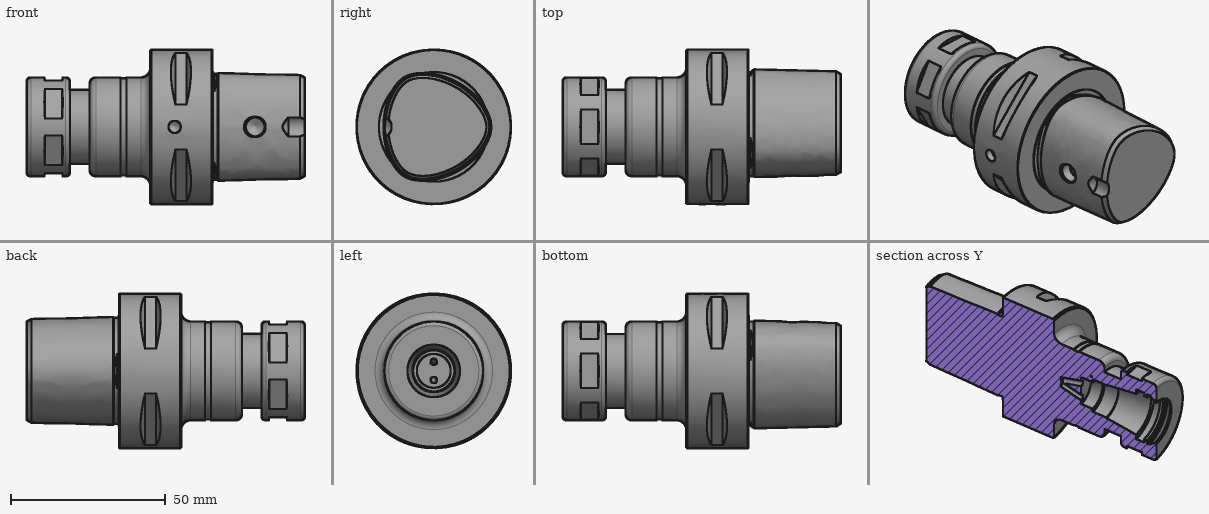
import cadquery as cq
import math

DRILL_POINT_ANGLE = 118.0

NUT_LENGTH = 14.0
BODY_START = 20.3
FLANGE_START = 40.0
FLANGE_END = 60.0
SHANK_START = 62.1
TOTAL_LENGTH = 90.0

FLANGE_DIAMETER = 50.0
FLANGE_FRONT_CHAMFER = 0.45
FLANGE_BACK_CHAMFER = 0.2
BODY_DIAMETER = 32.0
BODY_EDGE_RADIUS = 2.2
FLANGE_BLEND_RADIUS = 3.0
BAND_DIAMETER = 31.6
BAND_START = 30.3
BAND_END = 32.3
NECK_DIAMETER = 24.0
NUT_DIAMETER = BODY_DIAMETER
NUT_EDGE_RADIUS = 1.4
PILOT_DISC_DIAMETER = 35.5
PILOT_DISC_END = 60.3

MOUTH_DIAMETER = 17.0
MOUTH_DEPTH = 0.6
NUT_GROOVE_DIAMETER = 20.5
NUT_GROOVE_START = 3.0
NUT_LIP_DIAMETER = 18.2
NUT_LIP_START = 3.8
NUT_LIP_END = 4.95
SEAT_START = 8.0
SEAT_END_DIAMETER = 13.8
SEAT_HALF_ANGLE = 8.0
BORE_DIAMETER = 13.3
BORE_LENGTH = 5.4
BORE_END_DIAMETER = 11.0
BORE_END_LENGTH = 4.5
COOLANT_DIAMETER = 2.0
COOLANT_OFFSET = 3.0
COOLANT_LENGTH = 8.1
COOLANT_TILT = 15.0

NUT_FLAT_COUNT = 6
NUT_FLAT_FIRST_ANGLE = 0.0
NUT_FLAT_DISTANCE = 15.0
NUT_FLAT_START = 5.9
NUT_FLAT_LENGTH = 5.6
NUT_FLAT_WALL_ANGLE = 12.0

NOTCH_COUNT = 4
NOTCH_FIRST_ANGLE = 45.0
NOTCH_DISTANCE = 22.05
NOTCH_START = 48.15
NOTCH_LENGTH = 3.5
NOTCH_WALL_ANGLE = 27.0
DIMPLE_X = 47.9
DIMPLE_DIAMETER = 4.0
DIMPLE_DEPTH = 2.7

SHANK_MEAN_RADIUS = 17.5
LOBE_HEIGHT = 1.2
SHANK_TAPER_DROP = 0.6
SHANK_CHAMFER_LENGTH = 1.6
SHANK_CHAMFER_DROP = 1.0
RELIEF_DEPTH = 0.3
RELIEF_DIAMETER = 35.1
RELIEF_FLARE_START = 60.75
RELIEF_END = 61.7
OUTLINE_POINTS = 72

CROSS_HOLE_X = 73.9
CROSS_HOLE_DIAMETER = 6.1
CROSS_HOLE_DEPTH = 4.05
CROSS_HOLE_RIM_DIAMETER = 7.0
CROSS_HOLE_CLEARANCE = 0.45
KEYWAY_DIAMETER = 6.8
KEYWAY_POINT_ANGLE = 100.0
KEYWAY_START = 84.6
KEYWAY_AXIS_DISTANCE = 17.0


def drill(diameter, depth, point_angle=DRILL_POINT_ANGLE):
    """Drill tool along +Z from the origin: a straight hole with a conical tip."""
    radius = diameter / 2
    tip = radius / math.tan(math.radians(point_angle / 2))
    outline = cq.Workplane("XZ").polyline([(0, 0), (radius, 0), (radius, depth), (0, depth + tip)])
    return outline.close().revolve(360, (0, 0, 0), (0, 1, 0))


def drill_along_y(diameter, depth, x, start_y):
    """Drill tool entering along +Y at the given X."""
    return drill(diameter, depth).rotate((0, 0, 0), (1, 0, 0), -90).translate((x, start_y, 0))


def turn(outline):
    """Revolve a (x, radius) outline about the X axis."""
    return outline.close().revolve(360, (0, 0, 0), (1, 0, 0))


def turned_outside():
    """Nut, neck, body and flange as one turned profile."""
    nut_r = NUT_DIAMETER / 2
    neck_r = NECK_DIAMETER / 2
    body_r = BODY_DIAMETER / 2
    band_r = BAND_DIAMETER / 2
    flange_r = FLANGE_DIAMETER / 2
    disc_r = PILOT_DISC_DIAMETER / 2
    outline = (
        cq.Workplane("XY")
        .moveTo(0, 0)
        .lineTo(0, nut_r - NUT_EDGE_RADIUS)
        .radiusArc((NUT_EDGE_RADIUS, nut_r), NUT_EDGE_RADIUS)
        .lineTo(NUT_LENGTH - NUT_EDGE_RADIUS, nut_r)
        .radiusArc((NUT_LENGTH, nut_r - NUT_EDGE_RADIUS), NUT_EDGE_RADIUS)
        .lineTo(NUT_LENGTH, neck_r)
        .lineTo(BODY_START, neck_r)
        .lineTo(BODY_START, body_r - BODY_EDGE_RADIUS)
        .radiusArc((BODY_START + BODY_EDGE_RADIUS, body_r), BODY_EDGE_RADIUS)
        .lineTo(BAND_START, body_r)
        .lineTo(BAND_START, band_r)
        .lineTo(BAND_END, band_r)
        .lineTo(BAND_END, body_r)
        .lineTo(FLANGE_START - FLANGE_BLEND_RADIUS, body_r)
        .radiusArc((FLANGE_START, body_r + FLANGE_BLEND_RADIUS), -FLANGE_BLEND_RADIUS)
        .lineTo(FLANGE_START, flange_r - FLANGE_FRONT_CHAMFER)
        .lineTo(FLANGE_START + FLANGE_FRONT_CHAMFER, flange_r)
        .lineTo(FLANGE_END - FLANGE_BACK_CHAMFER, flange_r)
        .lineTo(FLANGE_END, flange_r - FLANGE_BACK_CHAMFER)
        .lineTo(FLANGE_END, disc_r)
        .lineTo(PILOT_DISC_END, disc_r)
        .lineTo(PILOT_DISC_END, 0)
    )
    return turn(outline)


def lobed_wire(x, inset):
    """Three-lobed outline of constant width at station x, offset inward by inset.

    The distance of each tangent line from the axis is radius + lobe * cos(3 * angle),
    with angle 0 at the +Y lobe.
    """
    radius = SHANK_MEAN_RADIUS - inset
    points = []
    for i in range(OUTLINE_POINTS):
        angle = 2 * math.pi * i / OUTLINE_POINTS
        support = radius + LOBE_HEIGHT * math.cos(3 * angle)
        slope = -3 * LOBE_HEIGHT * math.sin(3 * angle)
        y = support * math.cos(angle) - slope * math.sin(angle)
        z = support * math.sin(angle) + slope * math.cos(angle)
        points.append(cq.Vector(x, y, z))
    return cq.Wire.assembleEdges([cq.Edge.makeSpline(points, periodic=True)])


def lobed_section(x_start, inset_start, x_end, inset_end):
    """Straight loft between two lobed outlines."""
    wires = [lobed_wire(x_start, inset_start), lobed_wire(x_end, inset_end)]
    return cq.Workplane(cq.Solid.makeLoft(wires, True))


def shank():
    """Relief behind the flange, tapered lobed shank and its end chamfer."""
    chamfer_start = TOTAL_LENGTH - SHANK_CHAMFER_LENGTH
    end_inset = SHANK_TAPER_DROP + SHANK_CHAMFER_DROP
    taper = lobed_section(SHANK_START, 0, chamfer_start, SHANK_TAPER_DROP)
    chamfer = lobed_section(chamfer_start, SHANK_TAPER_DROP, TOTAL_LENGTH, end_inset)
    relief = lobed_section(FLANGE_END, RELIEF_DEPTH, RELIEF_END, RELIEF_DEPTH)
    lead_in = lobed_section(RELIEF_END, RELIEF_DEPTH, SHANK_START, 0)

    relief_r = RELIEF_DIAMETER / 2
    flare_r = relief_r + SHANK_START - RELIEF_FLARE_START
    turned_limit = turn(
        cq.Workplane("XY").polyline(
            [
                (FLANGE_END, 0),
                (FLANGE_END, relief_r),
                (RELIEF_FLARE_START, relief_r),
                (SHANK_START, flare_r),
                (SHANK_START, 0),
            ]
        )
    )
    relief = relief.union(lead_in).intersect(turned_limit)
    return taper.union(chamfer).union(relief)


def collet_seat():
    """Stepped nut opening, long tapered seat and the blind bore behind it."""
    mouth_r = MOUTH_DIAMETER / 2
    groove_r = NUT_GROOVE_DIAMETER / 2
    lip_r = NUT_LIP_DIAMETER / 2
    seat_end_r = SEAT_END_DIAMETER / 2
    seat_length = (mouth_r - seat_end_r) / math.tan(math.radians(SEAT_HALF_ANGLE))
    seat_end = SEAT_START + seat_length
    bore_end = seat_end + BORE_LENGTH
    floor = bore_end + BORE_END_LENGTH
    cavity = turn(
        cq.Workplane("XY").polyline(
            [
                (0, 0),
                (0, mouth_r),
                (MOUTH_DEPTH, mouth_r),
                (NUT_GROOVE_START, groove_r),
                (NUT_LIP_START, groove_r),
                (NUT_LIP_START, lip_r),
                (NUT_LIP_END, lip_r),
                (NUT_LIP_END, groove_r),
                (SEAT_START, groove_r),
                (SEAT_START, mouth_r),
                (seat_end, seat_end_r),
                (seat_end, BORE_DIAMETER / 2),
                (bore_end, BORE_DIAMETER / 2),
                (bore_end, BORE_END_DIAMETER / 2),
                (floor, BORE_END_DIAMETER / 2),
                (floor, 0),
            ]
        )
    )
    for side in (1, -1):
        hole = (
            cq.Workplane("YZ", origin=(-COOLANT_DIAMETER / 2, 0, 0))
            .circle(COOLANT_DIAMETER / 2)
            .extrude(COOLANT_DIAMETER / 2 + COOLANT_LENGTH)
            .rotate((0, 0, 0), (0, 1, 0), side * COOLANT_TILT)
            .translate((floor, 0, side * COOLANT_OFFSET))
        )
        cavity = cavity.union(hole)
    return cavity


def edge_notch(start, length, distance, wall_angle, outer_radius):
    """Notch tool on the +Z side: flat floor at the given distance, walls leaning outward."""
    height = outer_radius - distance
    spread = height * math.tan(math.radians(wall_angle))
    end = start + length
    outline = cq.Workplane("XZ").polyline(
        [
            (start, distance),
            (end, distance),
            (end + spread, outer_radius),
            (start - spread, outer_radius),
        ]
    )
    return outline.close().extrude(outer_radius, both=True)


def cut_around(body, tool, count, first_angle):
    """Cut copies of a +Z tool evenly spaced about the X axis."""
    for i in range(count):
        angle = first_angle + i * 360 / count
        body = body.cut(tool.rotate((0, 0, 0), (1, 0, 0), angle))
    return body


def keyway():
    """Round-bottomed keyway drilled into the shank end, parallel to X."""
    tool = drill(KEYWAY_DIAMETER, TOTAL_LENGTH - KEYWAY_START, KEYWAY_POINT_ANGLE)
    return tool.rotate((0, 0, 0), (0, 1, 0), -90).translate((TOTAL_LENGTH, -KEYWAY_AXIS_DISTANCE, 0))


def cross_hole():
    """Drilled hole in the shank with a small countersunk rim."""
    taper_length = TOTAL_LENGTH - SHANK_CHAMFER_LENGTH - SHANK_START
    local_drop = SHANK_TAPER_DROP * (CROSS_HOLE_X - SHANK_START) / taper_length
    surface_y = -(SHANK_MEAN_RADIUS - LOBE_HEIGHT - local_drop)
    start_y = surface_y - CROSS_HOLE_CLEARANCE
    depth = CROSS_HOLE_DEPTH + CROSS_HOLE_CLEARANCE
    hole = drill_along_y(CROSS_HOLE_DIAMETER, depth, CROSS_HOLE_X, start_y)

    cone_r = CROSS_HOLE_RIM_DIAMETER / 2 + CROSS_HOLE_CLEARANCE
    cone_base = cq.Vector(CROSS_HOLE_X, start_y, 0)
    countersink = cq.Workplane(cq.Solid.makeCone(cone_r, 0, cone_r, cone_base, cq.Vector(0, 1, 0)))
    return hole.union(countersink)


part = turned_outside().union(shank()).cut(collet_seat())

nut_flat = edge_notch(
    NUT_FLAT_START, NUT_FLAT_LENGTH, NUT_FLAT_DISTANCE, NUT_FLAT_WALL_ANGLE, NUT_DIAMETER / 2
)
part = cut_around(part, nut_flat, NUT_FLAT_COUNT, NUT_FLAT_FIRST_ANGLE)

grip_notch = edge_notch(
    NOTCH_START, NOTCH_LENGTH, NOTCH_DISTANCE, NOTCH_WALL_ANGLE, FLANGE_DIAMETER / 2
)
part = cut_around(part, grip_notch, NOTCH_COUNT, NOTCH_FIRST_ANGLE)

part = part.cut(drill_along_y(DIMPLE_DIAMETER, DIMPLE_DEPTH, DIMPLE_X, -FLANGE_DIAMETER / 2))
part = part.cut(cross_hole())
result = part.cut(keyway())